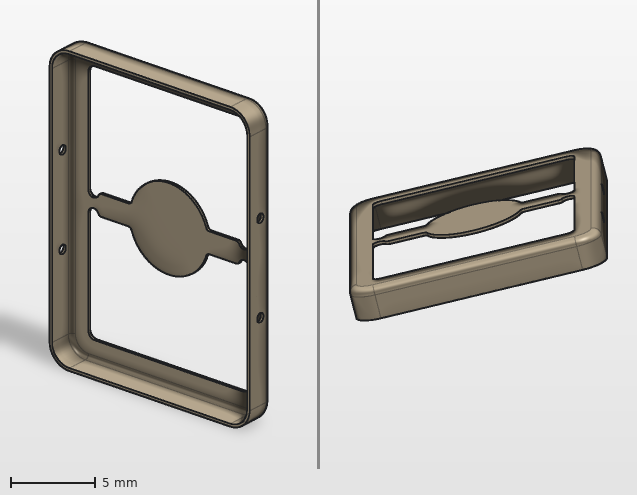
import cadquery as cq

WIDTH = 15.3
DEPTH = 2.0
HEIGHT = 20.9
CORNER_RADIUS = 1.5
EDGE_RADIUS = 0.5
THICKNESS = 0.2

WINDOW_MARGIN = 1.5
WINDOW_WIDTH = WIDTH - 2 * WINDOW_MARGIN
WINDOW_HEIGHT = HEIGHT - 2 * WINDOW_MARGIN
WINDOW_RADIUS = 0.5

DISC_DIAMETER = 6.0
ARM_HEIGHT = 1.5
ARM_BLEND_RADIUS = 0.25

NOTCH_RADIUS = 0.4
NOTCH_RIM_RADIUS = 0.25

PIN_HOLE_DIAMETER = 0.6
PIN_HOLE_SPACING = 6.5

BACK = DEPTH / 2
FLOOR_FRONT = BACK - THICKNESS


def rounded_block(width, height, y_front, y_back, corner_radius):
    """Block centred on the Y axis with its four Y-parallel edges rounded."""
    return (
        cq.Workplane("XY")
        .box(width, y_back - y_front, height)
        .translate((0, (y_front + y_back) / 2, 0))
        .edges("|Y")
        .fillet(corner_radius)
    )


def make_tray():
    """Constant-thickness tray with concentric rounds between walls and floor."""
    outside = rounded_block(WIDTH, HEIGHT, -BACK, BACK, CORNER_RADIUS)
    outside = outside.faces(">Y").edges().fillet(EDGE_RADIUS)
    inside = rounded_block(
        WIDTH - 2 * THICKNESS,
        HEIGHT - 2 * THICKNESS,
        -BACK,
        FLOOR_FRONT,
        CORNER_RADIUS - THICKNESS,
    )
    inside = inside.faces(">Y").edges().fillet(EDGE_RADIUS - THICKNESS)
    return outside.cut(inside)


def make_window():
    return rounded_block(WINDOW_WIDTH, WINDOW_HEIGHT, FLOOR_FRONT, BACK, WINDOW_RADIUS)


def floor_cylinder(x, z, radius):
    """Cylinder along Y spanning the floor thickness."""
    return cq.Workplane("XZ", origin=(x, BACK, z)).circle(radius).extrude(THICKNESS)


def blend_corners(body, x_min, x_max, radius):
    """Round the Y-parallel corners whose distance from the YZ plane is within a range."""
    for low, high in ((-x_max, -x_min), (x_min, x_max)):
        zone = cq.selectors.BoxSelector((low, -DEPTH, -ARM_HEIGHT), (high, DEPTH, ARM_HEIGHT))
        body = body.edges("|Y").edges(zone).fillet(radius)
    return body


def make_disc_with_arms():
    """Disc and notched arms, with the disc-to-arm corners and the notch rims rounded."""
    arms = cq.Workplane("XY").box(WINDOW_WIDTH, THICKNESS, ARM_HEIGHT)
    arms = arms.translate((0, (FLOOR_FRONT + BACK) / 2, 0))
    disc_radius = DISC_DIAMETER / 2
    body = arms.union(floor_cylinder(0, 0, disc_radius))

    notch_x = WINDOW_WIDTH / 2 - NOTCH_RADIUS
    notch_z = ARM_HEIGHT / 2
    for x in (-notch_x, notch_x):
        for z in (-notch_z, notch_z):
            body = body.cut(floor_cylinder(x, z, NOTCH_RADIUS))

    body = blend_corners(body, 0, disc_radius, ARM_BLEND_RADIUS)
    return blend_corners(body, (disc_radius + notch_x) / 2, notch_x, NOTCH_RIM_RADIUS)


def make_pin_holes():
    holes = cq.Workplane("YZ", origin=(-WIDTH / 2, 0, 0))
    holes = holes.pushPoints([(0, -PIN_HOLE_SPACING / 2), (0, PIN_HOLE_SPACING / 2)])
    return holes.circle(PIN_HOLE_DIAMETER / 2).extrude(WIDTH)


result = make_tray().cut(make_window()).union(make_disc_with_arms()).cut(make_pin_holes())